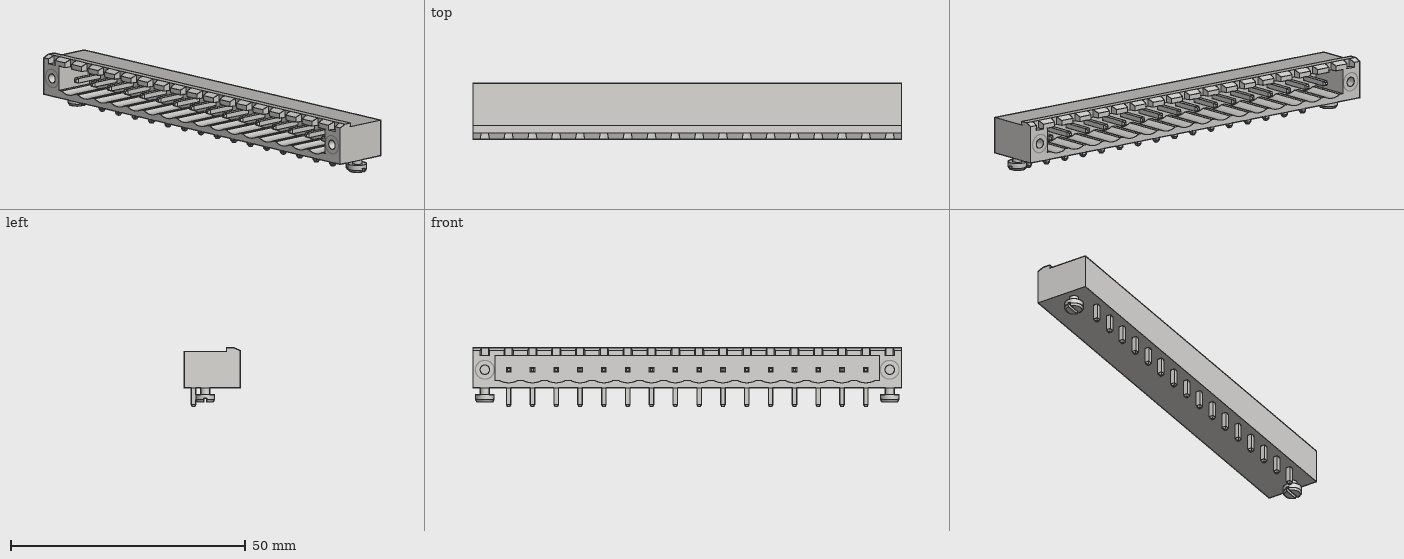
import cadquery as cq

pitch = 5.08
pole_count = 16

housing_length = pitch * (pole_count + 2)
housing_depth = 12.0
housing_height = 8.6
rear_step = 0.8
front_lip_depth = 3.0
lip_bevel_depth = 1.4
lip_bevel_height = 0.6

cavity_depth = 9.0
cavity_top_z = housing_height - 1.65
crest_z = 1.65
scallop_depth = 0.55
crest_width = 1.0
scallop_width = pitch - crest_width
end_wall_thickness = 4.7
cavity_half_length = housing_length / 2 - end_wall_thickness

slot_inner_width = 1.5
slot_outer_width = 2.0
slot_depth = lip_bevel_depth

pin_size = 1.0
pin_tip_length = 0.5
pin_tip_size = 0.5
pin_axis_z = 3.9
contact_tip_y = 2.0
solder_pin_y = housing_depth - 2.0
solder_pin_bottom_z = -4.0

insert_diameter = 4.0
insert_bore = 2.0
insert_length = 5.0

screw_y = housing_depth - 4.5
screw_shank_diameter = 2.0
screw_embedment = 1.0
screw_head_diameter = 4.0
screw_head_top_z = -1.4
screw_head_height = 1.6
screw_bevel_width = 0.3
screw_bevel_height = 0.5
driver_slot_width = 0.6
driver_slot_depth = 0.8

pole_positions = [(i - (pole_count - 1) / 2) * pitch for i in range(pole_count)]
flange_x = pole_positions[-1] + pitch
flange_positions = [-flange_x, flange_x]


def make_housing():
    """Stepped, bevelled side profile extruded along X."""
    rear_top_z = housing_height - rear_step
    return (
        cq.Workplane("YZ")
        .moveTo(0, 0)
        .lineTo(housing_depth, 0)
        .lineTo(housing_depth, rear_top_z)
        .lineTo(front_lip_depth, rear_top_z)
        .lineTo(front_lip_depth, housing_height)
        .lineTo(lip_bevel_depth, housing_height)
        .lineTo(0, housing_height - lip_bevel_height)
        .close()
        .extrude(housing_length / 2, both=True)
    )


def make_cavity():
    """Mating cavity: flat roof, and a floor with one arc trough per pole."""
    outline = (
        cq.Workplane("XZ")
        .moveTo(-cavity_half_length, cavity_top_z)
        .lineTo(-cavity_half_length, crest_z)
    )
    for x in pole_positions:
        outline = outline.lineTo(x - scallop_width / 2, crest_z)
        outline = outline.threePointArc(
            (x, crest_z - scallop_depth), (x + scallop_width / 2, crest_z)
        )
    outline = outline.lineTo(cavity_half_length, crest_z)
    outline = outline.lineTo(cavity_half_length, cavity_top_z)
    return outline.close().extrude(-cavity_depth)


def make_coding_slot(x):
    """Trapezoidal notch through the front of the top wall."""
    return (
        cq.Workplane("XY", origin=(x, 0, cavity_top_z))
        .moveTo(-slot_outer_width / 2, 0)
        .lineTo(slot_outer_width / 2, 0)
        .lineTo(slot_inner_width / 2, slot_depth)
        .lineTo(-slot_inner_width / 2, slot_depth)
        .close()
        .extrude(housing_height - cavity_top_z)
    )


def make_square_pin(plane, length):
    """Square bar starting on the plane, with a tapered tip at its far end."""
    bar = cq.Workplane(plane).rect(pin_size, pin_size).extrude(length - pin_tip_length)
    tip = (
        cq.Workplane(plane)
        .workplane(offset=length - pin_tip_length)
        .rect(pin_size, pin_size)
        .workplane(offset=pin_tip_length)
        .rect(pin_tip_size, pin_tip_size)
        .loft()
    )
    return bar.union(tip)


def make_contact(x):
    """Right-angle contact: a mating pin and a solder pin that meet in the rear wall."""
    mating_start_y = solder_pin_y + pin_size / 2
    mating_plane = cq.Plane((x, mating_start_y, pin_axis_z), (1, 0, 0), (0, -1, 0))
    mating_pin = make_square_pin(mating_plane, mating_start_y - contact_tip_y)
    solder_plane = cq.Plane((x, solder_pin_y, pin_axis_z), (1, 0, 0), (0, 0, -1))
    solder_pin = make_square_pin(solder_plane, pin_axis_z - solder_pin_bottom_z)
    return mating_pin.union(solder_pin)


def make_screw(x):
    """Slotted screw whose shank enters the underside of the housing."""
    head_bottom_z = screw_head_top_z - screw_head_height
    head_radius = screw_head_diameter / 2
    shank_radius = screw_shank_diameter / 2
    screw = (
        cq.Workplane("XZ")
        .moveTo(0, head_bottom_z)
        .lineTo(head_radius - screw_bevel_width, head_bottom_z)
        .lineTo(head_radius, head_bottom_z + screw_bevel_height)
        .lineTo(head_radius, screw_head_top_z)
        .lineTo(shank_radius, screw_head_top_z)
        .lineTo(shank_radius, screw_embedment)
        .lineTo(0, screw_embedment)
        .close()
        .revolve(360, (0, 0, 0), (0, 1, 0))
    )
    driver_slot = cq.Workplane("XY", origin=(0, 0, head_bottom_z)).box(
        screw_head_diameter, driver_slot_width, driver_slot_depth, centered=(True, True, False)
    )
    return screw.cut(driver_slot).translate((x, screw_y, 0))


def make_front_cylinder(x, diameter):
    """Cylinder reaching from the mating face to the depth of an insert."""
    return (
        cq.Workplane("XZ", origin=(x, 0, pin_axis_z))
        .circle(diameter / 2)
        .extrude(-insert_length)
    )


result = make_housing().cut(make_cavity())

for x in pole_positions + flange_positions:
    result = result.cut(make_coding_slot(x))

for x in pole_positions:
    result = result.union(make_contact(x))

for x in flange_positions:
    result = result.union(make_screw(x))

for x in flange_positions:
    seat = make_front_cylinder(x, insert_diameter)
    insert = seat.cut(make_front_cylinder(x, insert_bore))
    result = result.cut(seat, clean=False).union(insert, clean=False)